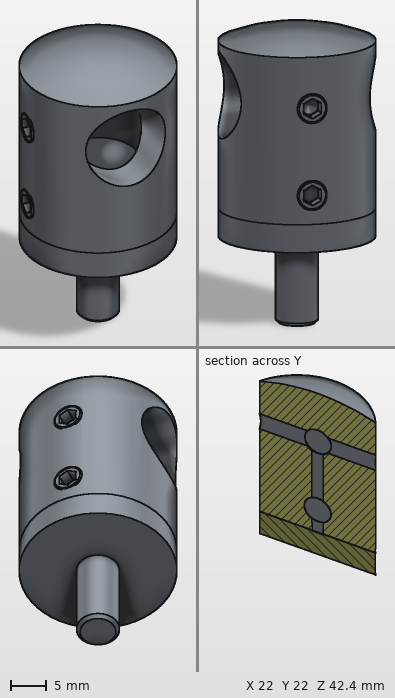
import cadquery as cq
import math

overall_height = 42.45
stud_exposed = 12.4
base_thickness = 4.0
dome_height = 2.2
base_bottom = stud_exposed
housing_bottom = base_bottom + base_thickness
dome_bottom = overall_height - dome_height

outer_diameter = 22.0
rail_hole_diameter = 12.2
rail_hole_z = 32.9
bore_diameter = 12.0
outer_radius = outer_diameter / 2

stud_diameter = 6.0
stud_tip_chamfer = 0.5
head_diameter = 11.9
head_height = 8.5

screw_diameter = 4.2
screw_chamfer = 0.2
screw_spacing = 12.4
screw_face_y = -outer_radius
upper_screw_z = rail_hole_z
lower_screw_z = upper_screw_z - screw_spacing
socket_across_flats = 2.5
socket_depth = 2.0
socket_cone_depth = 0.72
upper_screw_length = outer_radius - rail_hole_diameter / 2
lower_screw_length = outer_radius - head_diameter / 2


def cylinder_z(diameter, bottom, top):
    """Upright cylinder on the part's axis."""
    return cq.Workplane("XY").workplane(offset=bottom).circle(diameter / 2).extrude(top - bottom)


def cylinder_y(diameter, z, length):
    """Cylinder running inwards along +Y from the plane of the screw faces."""
    start = cq.Workplane("XZ", origin=(0, screw_face_y, z))
    return start.circle(diameter / 2).extrude(-length)


def make_housing():
    """Domed cylinder with a bore, a cross hole for the rail and two screw holes."""
    dome_radius = (outer_radius**2 + dome_height**2) / (2 * dome_height)
    half_angle = math.asin(outer_radius / dome_radius) / 2
    dome_middle = (
        dome_radius * math.sin(half_angle),
        overall_height - dome_radius * (1 - math.cos(half_angle)),
    )
    body = (
        cq.Workplane("XZ")
        .moveTo(0, housing_bottom)
        .lineTo(outer_radius, housing_bottom)
        .lineTo(outer_radius, dome_bottom)
        .threePointArc(dome_middle, (0, overall_height))
        .close()
        .revolve(360, (0, 0, 0), (0, 1, 0))
    )
    bore = cylinder_z(bore_diameter, housing_bottom, rail_hole_z)
    rail_hole = (
        cq.Workplane("YZ")
        .center(0, rail_hole_z)
        .circle(rail_hole_diameter / 2)
        .extrude(outer_diameter, both=True)
    )
    body = body.cut(bore).cut(rail_hole)
    for z in (upper_screw_z, lower_screw_z):
        body = body.cut(cylinder_y(screw_diameter, z, outer_radius))
    return body


def make_base():
    """Flat ring under the housing with a hole for the stud."""
    ring = cylinder_z(outer_diameter, base_bottom, housing_bottom)
    return ring.cut(cylinder_z(stud_diameter, base_bottom, housing_bottom))


def make_stud():
    """Shank with a chamfered tip, and a wide head with slight clearance in the housing bore."""
    shank = cylinder_z(stud_diameter, 0, housing_bottom).faces("<Z").chamfer(stud_tip_chamfer)
    head = cylinder_z(head_diameter, housing_bottom, housing_bottom + head_height)
    return shank.union(head)


def make_screw(z, length, cone_depth):
    """Set screw with a hexagon socket, deepened by a cone where cone_depth is above zero."""
    screw = cylinder_y(screw_diameter, z, length).faces("<Y").chamfer(screw_chamfer)
    across_corners = socket_across_flats / math.cos(math.pi / 6)
    socket = (
        cq.Workplane("XZ", origin=(0, screw_face_y, z))
        .transformed(rotate=(0, 0, 90))
        .polygon(6, across_corners)
        .extrude(-socket_depth)
    )
    screw = screw.cut(socket)
    if cone_depth > 0:
        cone = cq.Solid.makeCone(
            socket_across_flats / 2,
            0,
            cone_depth,
            pnt=cq.Vector(0, screw_face_y + socket_depth, z),
            dir=cq.Vector(0, 1, 0),
        )
        screw = screw.cut(cq.Workplane(cone))
    return screw


housing = make_housing()
base = make_base()
stud = make_stud()
screw_layout = [
    (upper_screw_z, upper_screw_length, socket_cone_depth),
    (lower_screw_z, lower_screw_length, 0),
]
screws = [make_screw(z, length, cone_depth) for z, length, cone_depth in screw_layout]

result = cq.Compound.makeCompound(
    [housing.val(), base.val(), stud.val()] + [screw.val() for screw in screws]
)